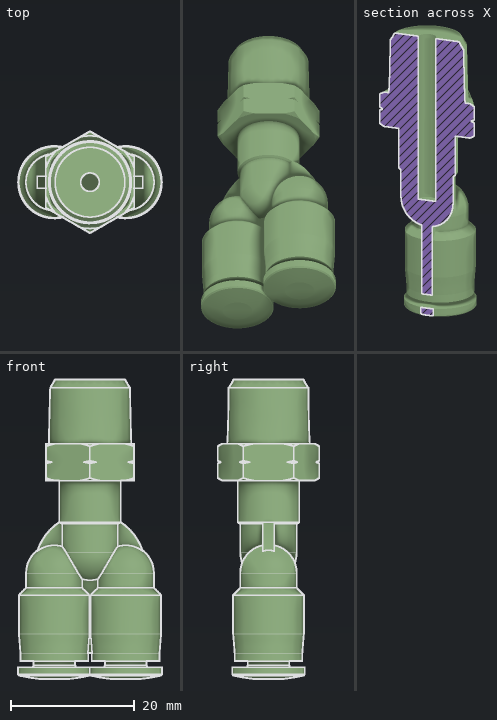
import cadquery as cq
import math

total_height = 48.5
bore_diameter = 3.0
thread_length = 10.4
thread_top_diameter = 12.95
thread_bottom_diameter = 13.38
thread_chamfer_height = 1.4
thread_end_diameter = 11.3

hex_height = 6.0
hex_corner_diameter = 16.5
hex_top_diameter = 15.0
hex_chamfer_angle = 30.0
hex_groove_depth = 0.5
hex_groove_half_height = 0.22

neck_diameter = 10.0
neck_bottom_z = 25.4
neck_chamfer_height = 0.3
core_diameter = 9.2
core_sphere_z = 20.5

branch_spacing = 11.54
branch_sphere_z = 17.15
shoulder_top_z = 14.75
shoulder_bottom_z = 13.6
body_diameter = 11.5
body_taper_top_z = 7.3
body_taper_bottom_z = 4.2
body_end_diameter = 11.0
body_bottom_z = 2.9

collar_neck_diameter = 6.76
collar_diameter = 11.76
collar_top_z = 1.95
collar_foot_height = 0.3
collar_foot_diameter = 7.0
collar_rim_z = 0.75
collar_bevel = 0.2
collar_end_diameter = 4.76

web_thickness = 1.9
web_radius = 9.0
web_arch_centre_z = 17.9
web_bottom_z = body_taper_bottom_z

hex_top_z = total_height - thread_length
hex_bottom_z = hex_top_z - hex_height
core_radius = core_diameter / 2


def revolve_about_z(profile):
    return profile.close().revolve(360, (0, 0, 0), (0, 1, 0))


def make_thread():
    return revolve_about_z(
        cq.Workplane("XZ")
        .moveTo(0, hex_top_z)
        .lineTo(thread_bottom_diameter / 2, hex_top_z)
        .lineTo(thread_top_diameter / 2, total_height - thread_chamfer_height)
        .lineTo(thread_end_diameter / 2, total_height)
        .lineTo(0, total_height)
    )


def make_hexagon():
    """Hexagon cut by a turned envelope: bevelled ends and a V groove round the middle."""
    corner_radius = hex_corner_diameter / 2
    top_radius = hex_top_diameter / 2
    bevel_height = (corner_radius - top_radius) * math.tan(math.radians(hex_chamfer_angle))
    middle_z = (hex_top_z + hex_bottom_z) / 2
    envelope = revolve_about_z(
        cq.Workplane("XZ")
        .moveTo(0, hex_bottom_z)
        .lineTo(top_radius, hex_bottom_z)
        .lineTo(corner_radius, hex_bottom_z + bevel_height)
        .lineTo(corner_radius, middle_z - hex_groove_half_height)
        .lineTo(corner_radius - hex_groove_depth, middle_z)
        .lineTo(corner_radius, middle_z + hex_groove_half_height)
        .lineTo(corner_radius, hex_top_z - bevel_height)
        .lineTo(top_radius, hex_top_z)
        .lineTo(0, hex_top_z)
    )
    prism = (
        cq.Workplane("XY", origin=(0, 0, hex_bottom_z))
        .transformed(rotate=(0, 0, 90))
        .polygon(6, hex_corner_diameter)
        .extrude(hex_height)
    )
    return prism.intersect(envelope)


def make_core():
    arc_offset = core_radius * math.sqrt(0.5)
    return revolve_about_z(
        cq.Workplane("XZ")
        .moveTo(0, hex_bottom_z)
        .lineTo(neck_diameter / 2, hex_bottom_z)
        .lineTo(neck_diameter / 2, neck_bottom_z)
        .lineTo(core_radius, neck_bottom_z - neck_chamfer_height)
        .lineTo(core_radius, core_sphere_z)
        .threePointArc(
            (arc_offset, core_sphere_z - arc_offset),
            (0, core_sphere_z - core_radius),
        )
    )


def make_branch():
    """Domed branch with its stepped body and domed release collar, on the Z axis."""
    arc_offset = core_radius * math.sqrt(0.5)
    collar_radius = collar_diameter / 2
    dome_edge_radius = collar_radius - collar_bevel
    dome_edge_z = collar_rim_z - collar_bevel
    end_radius = collar_end_diameter / 2
    dome_centre_z = (dome_edge_radius**2 + dome_edge_z**2 - end_radius**2) / (2 * dome_edge_z)
    dome_radius = math.hypot(end_radius, dome_centre_z)
    dome_mid_radius = (dome_edge_radius + end_radius) / 2
    dome_mid_z = dome_centre_z - math.sqrt(dome_radius**2 - dome_mid_radius**2)
    return revolve_about_z(
        cq.Workplane("XZ")
        .moveTo(0, branch_sphere_z + core_radius)
        .threePointArc(
            (arc_offset, branch_sphere_z + arc_offset),
            (core_radius, branch_sphere_z),
        )
        .lineTo(core_radius, shoulder_top_z)
        .lineTo(body_diameter / 2, shoulder_bottom_z)
        .lineTo(body_diameter / 2, body_taper_top_z)
        .lineTo(body_end_diameter / 2, body_taper_bottom_z)
        .lineTo(body_end_diameter / 2, body_bottom_z)
        .lineTo(collar_neck_diameter / 2, body_bottom_z)
        .lineTo(collar_neck_diameter / 2, collar_top_z + collar_foot_height)
        .lineTo(collar_foot_diameter / 2, collar_top_z)
        .lineTo(collar_radius, collar_top_z)
        .lineTo(collar_radius, collar_rim_z)
        .lineTo(dome_edge_radius, dome_edge_z)
        .threePointArc((dome_mid_radius, dome_mid_z), (end_radius, 0))
        .lineTo(0, 0)
    )


def make_web():
    """Flat web in the XZ plane: an arched top over a plate reaching down between the branches."""
    half_width = branch_spacing / 2
    arch_top_z = neck_bottom_z
    arch_top_x = math.sqrt(web_radius**2 - (arch_top_z - web_arch_centre_z) ** 2)
    arch_mid = web_radius * math.sqrt(0.5)
    return (
        cq.Workplane("XZ")
        .moveTo(-half_width, web_bottom_z)
        .lineTo(half_width, web_bottom_z)
        .lineTo(half_width, web_arch_centre_z)
        .lineTo(web_radius, web_arch_centre_z)
        .threePointArc((arch_mid, web_arch_centre_z + arch_mid), (arch_top_x, arch_top_z))
        .lineTo(-arch_top_x, arch_top_z)
        .threePointArc((-arch_mid, web_arch_centre_z + arch_mid), (-web_radius, web_arch_centre_z))
        .lineTo(-half_width, web_arch_centre_z)
        .close()
        .extrude(web_thickness / 2, both=True)
    )


body = make_core().union(make_hexagon()).union(make_thread()).union(make_web())
for side in (-1, 1):
    body = body.union(make_branch().translate((side * branch_spacing / 2, 0, 0)))

bore = (
    cq.Workplane("XY", origin=(0, 0, core_sphere_z))
    .circle(bore_diameter / 2)
    .extrude(total_height - core_sphere_z)
)

result = body.cut(bore)